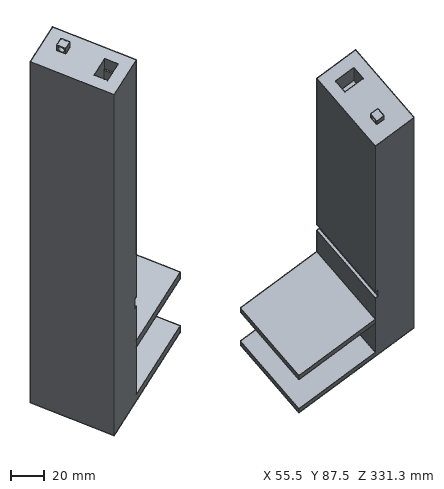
import cadquery as cq

WIDTH = 55.5
DEPTH = 87.5
HEIGHT = 331.3

COLUMN_DEPTH = 29.5
SHELF_THICKNESS = 6.3
SHELF_LENGTH = DEPTH - COLUMN_DEPTH
UPPER_SHELF_BOTTOM = 51.5

LUG_WIDTH = 6.0
LUG_DEPTH = 5.5
LUG_HEIGHT = 5.3
LUG_LEFT = 10.3
LUG_FRONT = 14.5
LUG_HOLE_DIAMETER = 4.3
COLUMN_HEIGHT = HEIGHT - LUG_HEIGHT

POCKET_LEFT = 38.5
POCKET_FRONT = 8.0
POCKET_WIDTH = 9.0
POCKET_LENGTH = 14.0
POCKET_DEPTH = 20.0
LEDGE_WIDTH = 1.0
LEDGE_DROP = 10.0

GROOVE_BOTTOM = 90.5
GROOVE_HEIGHT = 9.0
GROOVE_DEPTH = 2.0


def corner_box(x_size, y_size, z_size, corner):
    """A box given by its sizes and its lowest left front corner."""
    return cq.Workplane("XY").box(x_size, y_size, z_size, centered=False).translate(corner)


def make_shelf(bottom):
    """A flat shelf reaching back from the rear face of the column."""
    return corner_box(WIDTH, SHELF_LENGTH, SHELF_THICKNESS, (0, COLUMN_DEPTH, bottom))


def make_lug():
    """A small block with a round hole from front to rear."""
    block = corner_box(LUG_WIDTH, LUG_DEPTH, LUG_HEIGHT, (LUG_LEFT, LUG_FRONT, COLUMN_HEIGHT))
    return block.faces("<Y").workplane(centerOption="CenterOfMass").hole(LUG_HOLE_DIAMETER)


def make_pocket():
    """The space cut out of the column top, shorter below the ledge."""
    mouth_bottom = COLUMN_HEIGHT - LEDGE_DROP
    mouth = corner_box(POCKET_WIDTH, POCKET_LENGTH, LEDGE_DROP, (POCKET_LEFT, POCKET_FRONT, mouth_bottom))
    pocket_bottom = COLUMN_HEIGHT - POCKET_DEPTH
    shaft_length = POCKET_LENGTH - LEDGE_WIDTH
    shaft = corner_box(POCKET_WIDTH, shaft_length, POCKET_DEPTH, (POCKET_LEFT, POCKET_FRONT, pocket_bottom))
    return mouth.union(shaft)


def make_groove():
    """The space cut across the full width of the rear face."""
    groove_front = COLUMN_DEPTH - GROOVE_DEPTH
    return corner_box(WIDTH, GROOVE_DEPTH, GROOVE_HEIGHT, (0, groove_front, GROOVE_BOTTOM))


def make_column():
    """The column with its bottom shelf and lug."""
    column = corner_box(WIDTH, COLUMN_DEPTH, COLUMN_HEIGHT, (0, 0, 0))
    column = column.union(make_shelf(0)).union(make_lug())
    return column.cut(make_pocket()).cut(make_groove())


column = make_column()
upper_shelf = make_shelf(UPPER_SHELF_BOTTOM)

result = cq.Compound.makeCompound([column.val(), upper_shelf.val()])